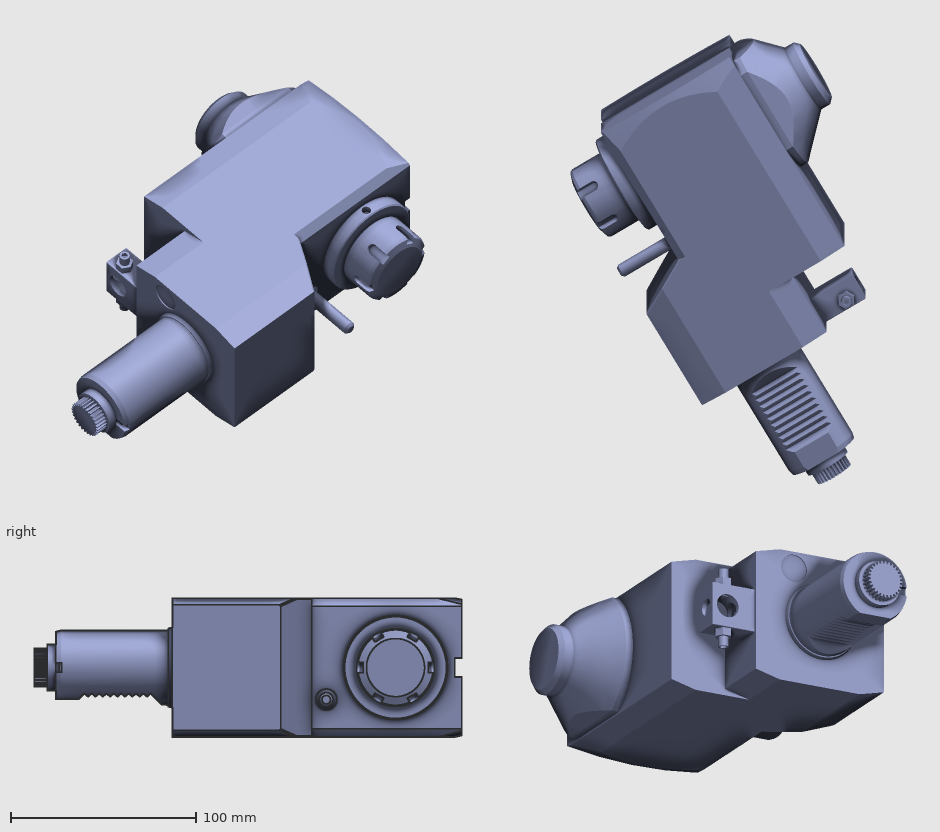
import cadquery as cq
import math


housing_height = 75.0
half_height = housing_height / 2
y_back = 156.5
x_left = -72.3
x_spindle = 8.5
x_lower_left = -39.7
x_lower_right = 38.5
y_step = 35.5
y_slope_top = 75.3
y_slope_bottom = 58.7
bevel_width = 14.8
bevel_drop = 3.7
spindle_bevel = 4.5
slope_edge_chamfer = 0.7
crown_x = -27.7
crown_radius = 247.9
crown_top = 36.7
crown_angle = 12
keyway_half_width = 5.0
keyway_depth = 3.7
plug_x = -16.5
plug_z = 28.0
plug_radius = 7.9
plug_recess = 0.7

spindle_y = 120.5
x_cap_end = -105.3
cap_radius = 19.5
cap_chamfer = 2.5
x_cap_cone = -97.3
cap_base_radius = 40.5
cap_base_thickness = 4.2
cap_flat_z = 32.5
cap_flat_y = 31.6
cap_flat_angle = 15

collar_radius = 28.2
collar_end = 16.9
collar_chamfer = 0.7
neck_radius = 19.9
nut_start = 17.8
nut_radius = 21.0
nut_bevel_start = 35.5
nut_bevel_end = 37.2
nut_bevel_radius = 20.3
nut_end = 38.8
nut_face_radius = 15.7
slot_count = 6
slot_width = 5.5
slot_start = 25.9
slot_floor_radius = 17.5
spanner_hole_x = 12.7
spanner_hole_radius = 2.5
spanner_hole_depth = 4.6

pipe_y = 83.2
pipe_z = -17.3
pipe_radius = 3.7
pipe_end = 41.0
pipe_tip_chamfer = 1.5
pipe_base_radius = 5.8
pipe_base_length = 1.8

shank_radius = 20.0
flange_radius = 21.7
flange_face_radius = 21.0
flange_length = 2.3
root_radius = 20.3
root_end = 3.7
shank_chamfer_start = 60
shank_end_radius = 19.5
shank_length = 62.8
spigot_radius = 12.5
spigot_end = 67.7
spline_end = 74.5
spline_teeth = 28
spline_tip_radius = 10.5
spline_root_radius = 9.0
spline_tip_share = 0.3
spline_root_share = 0.6
tooth_count = 9
tooth_row_length = 31.9
tooth_pitch = tooth_row_length / (tooth_count - 1)
first_tooth_y = -13.6
tooth_tip_z = -15.7
tooth_root_z = -14.0
land_z = -17.0
land_start_y = -50.5
notch_width = 5.0
notch_start = 11.5
notch_step = 15.0
notch_depth = 3.0
notch_inner_depth = 1.8

bracket_left = -65.4
bracket_front = 1.5
bracket_back = 16.2
bracket_half_height = 12.2
bracket_chamfer = 0.2
bore_x = -56.1
bore_diameter = 13.2
bore_depth = 12.7
port_y = (bracket_front + bracket_back) / 2
port_diameter = 9.5
port_floor_x = -47.4
feed_radius = 1.6
screw_y = 6.5
screw_radius = 2.8
screw_tip = 6.2
screw_top = 22.2
hex_across_corners = 9.5
hex_top = 16.6
socket_across_corners = 3.7
socket_depth = 2.3


def turned_x(profile, y, z=0):
    """Revolve (x, radius) points about the axis along X at (y, z)."""
    return (cq.Workplane("XY").polyline(profile).close()
            .revolve(360, (0, 0, 0), (1, 0, 0)).translate((0, y, z)))


def turned_y(profile):
    """Revolve (radius, y) points about the Y axis."""
    return cq.Workplane("XY").polyline(profile).close().revolve(360, (0, 0, 0), (0, 1, 0))


def block(x0, x1, y0, y1, z0, z1):
    return (cq.Workplane("XY").box(x1 - x0, y1 - y0, z1 - z0, centered=False)
            .translate((x0, y0, z0)))


def bevel_cutters(x_edge, inward, width, drop, y0, y1):
    """Wedges along Y that bevel the top and bottom edges of the side at x_edge."""
    x_inner = x_edge + inward * width
    top = (cq.Workplane("XZ")
           .polyline([(x_edge, half_height - drop), (x_inner, half_height), (x_edge, half_height)])
           .close().extrude(y0 - y1).translate((0, y0, 0)))
    return top.union(top.mirror("XY"))


def make_housing():
    outline = [
        (x_lower_left, 0), (x_lower_right, 0),
        (x_lower_right, y_slope_bottom), (x_spindle, y_slope_top),
        (x_spindle, y_back), (x_left, y_back),
        (x_left, y_step), (x_lower_left, y_step),
    ]
    housing = (cq.Workplane("XY").workplane(offset=-half_height)
               .polyline(outline).close().extrude(2 * half_height))
    bevels = [
        (x_left, 1, bevel_width, bevel_drop, y_step, y_back),
        (x_lower_left, 1, bevel_width, bevel_drop, 0, y_step),
        (x_lower_right, -1, bevel_width, bevel_drop, 0, y_slope_top),
        (x_spindle, -1, spindle_bevel, spindle_bevel, y_slope_top, y_back),
    ]
    for bevel in bevels:
        housing = housing.cut(bevel_cutters(*bevel))

    x_middle = (x_spindle + x_lower_right) / 2
    y_middle = (y_slope_top + y_slope_bottom) / 2
    shoulder = housing.faces(cq.selectors.NearestToPointSelector((x_middle, y_middle, 0)))
    housing = shoulder.edges("not |Z").chamfer(slope_edge_chamfer)

    front_radius = crown_radius + y_back * math.tan(math.radians(crown_angle))
    crown = turned_y([(0, 0), (front_radius, 0), (crown_radius, y_back), (0, y_back)])
    crown = crown.translate((crown_x, 0, crown_top - crown_radius))
    housing = housing.intersect(crown).intersect(crown.mirror("XY"))

    keyway = block(x_left, x_spindle, y_back - keyway_depth, y_back,
                   -keyway_half_width, keyway_half_width)
    plug_seat = (cq.Workplane("XZ").center(plug_x, plug_z)
                 .circle(plug_radius).extrude(-plug_recess))
    return housing.cut(keyway).cut(plug_seat)


def make_motor_cap():
    x_base = x_left - cap_base_thickness
    cap = turned_x([
        (x_cap_end, 0), (x_cap_end, cap_radius - cap_chamfer),
        (x_cap_end + cap_chamfer, cap_radius), (x_cap_cone, cap_radius),
        (x_base, cap_base_radius), (x_left, cap_base_radius), (x_left, 0),
    ], spindle_y)
    lean = (x_base - x_cap_end) * math.tan(math.radians(cap_flat_angle))
    envelope_outline = [
        (x_left, cap_flat_z), (x_base, cap_flat_z), (x_cap_end, cap_flat_z - lean),
        (x_cap_end, lean - cap_flat_z), (x_base, -cap_flat_z), (x_left, -cap_flat_z),
    ]
    envelope = (cq.Workplane("XZ").polyline(envelope_outline).close()
                .extrude(-(cap_base_radius + cap_flat_y))
                .translate((0, spindle_y - cap_base_radius, 0)))
    return cap.intersect(envelope)


def make_spindle():
    spindle = turned_x([
        (x_spindle, 0), (x_spindle, collar_radius - collar_chamfer),
        (x_spindle + collar_chamfer, collar_radius),
        (collar_end - collar_chamfer, collar_radius),
        (collar_end, collar_radius - collar_chamfer), (collar_end, neck_radius),
        (nut_start, neck_radius), (nut_start, nut_radius),
        (nut_bevel_start, nut_radius), (nut_bevel_end, nut_bevel_radius),
        (nut_end, nut_face_radius), (nut_end, 0),
    ], spindle_y)
    x_slot_center = slot_start + slot_width / 2
    slot = block(x_slot_center, nut_end, -slot_width / 2, slot_width / 2,
                 slot_floor_radius, nut_radius)
    slot_round = (cq.Workplane("XY").workplane(offset=slot_floor_radius)
                  .center(x_slot_center, 0).circle(slot_width / 2)
                  .extrude(nut_radius - slot_floor_radius))
    slot = slot.union(slot_round)
    slot_step = 360 / slot_count
    for i in range(slot_count):
        turned = slot.rotate((0, 0, 0), (1, 0, 0), (i + 0.5) * slot_step)
        spindle = spindle.cut(turned.translate((0, spindle_y, 0)))
    spanner_hole = (cq.Workplane("XY").workplane(offset=collar_radius - spanner_hole_depth)
                    .center(spanner_hole_x, spindle_y).circle(spanner_hole_radius)
                    .extrude(spanner_hole_depth))
    return spindle.cut(spanner_hole)


def make_coolant_pipe():
    x_base_end = x_spindle + pipe_base_length
    return turned_x([
        (x_spindle, 0), (x_spindle, pipe_base_radius), (x_base_end, pipe_radius),
        (pipe_end - pipe_tip_chamfer, pipe_radius),
        (pipe_end, pipe_radius - pipe_tip_chamfer), (pipe_end, 0),
    ], pipe_y, pipe_z)


def make_spline():
    tooth_angle = 2 * math.pi / spline_teeth
    half_tip = spline_tip_share / 2
    half_root = spline_root_share / 2
    tooth = [
        (-half_root, spline_root_radius), (-half_tip, spline_tip_radius),
        (half_tip, spline_tip_radius), (half_root, spline_root_radius),
    ]
    points = []
    for i in range(spline_teeth):
        for offset, radius in tooth:
            angle = (i + offset) * tooth_angle
            points.append((radius * math.cos(angle), radius * math.sin(angle)))
    return (cq.Workplane("XZ").workplane(offset=spigot_end)
            .polyline(points).close().extrude(spline_end - spigot_end))


def make_rack_cutter():
    """Region under the shank's toothed flat, cut straight across in X."""
    half_pitch = tooth_pitch / 2
    y_first_root = first_tooth_y + half_pitch
    z_below = -flange_radius
    points = [(y_first_root + tooth_root_z - z_below, z_below), (y_first_root, tooth_root_z)]
    for i in range(tooth_count):
        y_tip = first_tooth_y - i * tooth_pitch
        points.append((y_tip, tooth_tip_z))
        points.append((y_tip - half_pitch, tooth_root_z))
    points += [(land_start_y, land_z), (-shank_length, land_z), (-shank_length, z_below)]
    return cq.Workplane("YZ").polyline(points).close().extrude(shank_radius, both=True)


def make_shank():
    shank = turned_y([
        (0, 0), (flange_radius, 0),
        (flange_face_radius, -flange_length), (root_radius, -flange_length),
        (shank_radius, -root_end), (shank_radius, -shank_chamfer_start),
        (shank_end_radius, -shank_length), (spigot_radius, -shank_length),
        (spigot_radius, -spigot_end), (0, -spigot_end),
    ])
    half_notch = notch_width / 2
    notch = block(notch_step, shank_radius, -shank_length, notch_depth - shank_length,
                  -half_notch, half_notch)
    inner_notch = block(notch_start, notch_step, -shank_length,
                        notch_inner_depth - shank_length, -half_notch, half_notch)
    return shank.cut(make_rack_cutter()).cut(notch).cut(inner_notch).union(make_spline())


def make_bracket():
    bracket = block(bracket_left, x_lower_left, bracket_front, bracket_back,
                    -bracket_half_height, bracket_half_height)
    bracket = bracket.edges("(<X and |Z) or (<Y and (not |Z))").chamfer(bracket_chamfer)
    bore = (cq.Workplane("XZ").workplane(offset=-bracket_front).center(bore_x, 0)
            .circle(bore_diameter / 2).extrude(-bore_depth))
    port = (cq.Workplane("YZ").workplane(offset=bracket_left).center(port_y, 0)
            .circle(port_diameter / 2).extrude(port_floor_x - bracket_left))
    feed = (cq.Workplane("YZ").workplane(offset=port_floor_x).center(port_y, 0)
            .circle(feed_radius).extrude(x_lower_left - port_floor_x))
    bracket = bracket.cut(bore).cut(port).cut(feed)

    nut = (cq.Workplane("XY").workplane(offset=bracket_half_height).center(bore_x, screw_y)
           .polygon(6, hex_across_corners).extrude(hex_top - bracket_half_height))
    screw = (cq.Workplane("XY").workplane(offset=screw_tip).center(bore_x, screw_y)
             .circle(screw_radius).extrude(screw_top - screw_tip))
    socket = (cq.Workplane("XY").workplane(offset=screw_top).center(bore_x, screw_y)
              .polygon(6, socket_across_corners).extrude(-socket_depth))
    fastener = nut.union(screw).cut(socket)
    return bracket.union(fastener).union(fastener.mirror("XY"))


result = (
    make_housing()
    .union(make_motor_cap())
    .union(make_spindle())
    .union(make_coolant_pipe())
    .union(make_shank())
    .union(make_bracket())
)